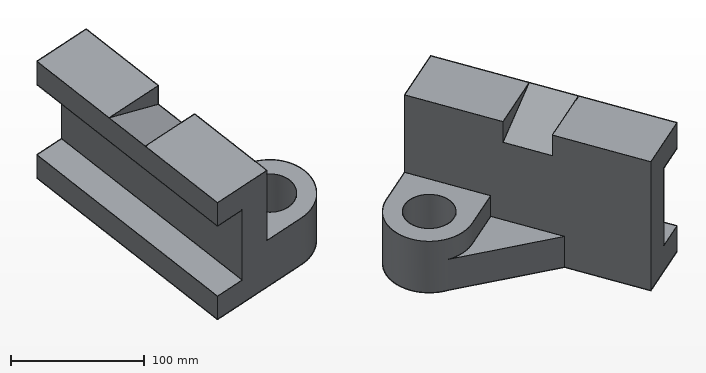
import cadquery as cq
import math

length = 200.0
body_depth = 50.0
height = 125.0
flange_thickness = 25.0
channel_depth = 25.0

lug_height = 50.0
lug_radius = 35.0
bore_diameter = 40.0
lug_x = length - lug_radius
lug_y = 85.0

rib_height = 30.0
rib_start_x = 70.0
rib_end_y = 108.8

notch_start_x = 80.0
notch_width = 40.0
notch_depth = 20.0


def make_body():
    body = cq.Workplane("XY").box(length, body_depth, height, centered=False)
    channel = (
        cq.Workplane("XY")
        .box(length, channel_depth, height - 2 * flange_thickness, centered=False)
        .translate((0, 0, flange_thickness))
    )
    return body.cut(channel)


def make_lug():
    return (
        cq.Workplane("XY")
        .moveTo(lug_x - lug_radius, body_depth)
        .lineTo(length, body_depth)
        .lineTo(length, lug_y)
        .threePointArc((lug_x, lug_y + lug_radius), (lug_x - lug_radius, lug_y))
        .close()
        .extrude(lug_height)
    )


def make_rib():
    rib_end_x = lug_x - math.sqrt(lug_radius**2 - (rib_end_y - lug_y) ** 2)
    return (
        cq.Workplane("XY")
        .moveTo(rib_start_x, body_depth)
        .lineTo(lug_x, body_depth)
        .lineTo(lug_x, lug_y)
        .lineTo(rib_end_x, rib_end_y)
        .close()
        .extrude(rib_height)
    )


def make_notch():
    return (
        cq.Workplane("YZ")
        .moveTo(0, height)
        .lineTo(body_depth, height)
        .lineTo(body_depth, height - notch_depth)
        .close()
        .extrude(notch_width)
        .translate((notch_start_x, 0, 0))
    )


bore = cq.Workplane("XY").center(lug_x, lug_y).circle(bore_diameter / 2).extrude(lug_height)

result = make_body().union(make_lug()).union(make_rib()).cut(bore).cut(make_notch())